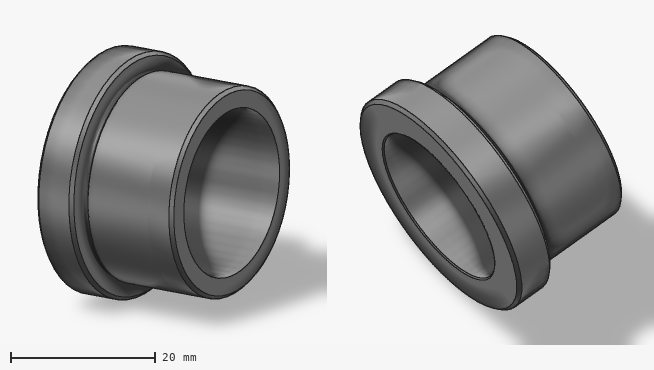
import cadquery as cq

total_length = 21.0
flange_diameter = 35.0
flange_width = 6.0
body_diameter = 30.0
bore_diameter = 24.0
edge_chamfer = 0.5
bore_chamfer = 0.2
relief_radius = 0.5
pilot_length = 4.0

flange_radius = flange_diameter / 2
body_radius = body_diameter / 2
bore_radius = bore_diameter / 2
relief_center_x = flange_width + relief_radius
relief_end_x = flange_width + 2 * relief_radius
pilot_start_x = total_length - pilot_length


def half_section():
    """Closed half section in the XY plane, with Y as the radius."""
    return (
        cq.Workplane("XY")
        .moveTo(bore_chamfer, bore_radius)
        .lineTo(0, bore_radius + bore_chamfer)
        .lineTo(0, flange_radius - edge_chamfer)
        .lineTo(edge_chamfer, flange_radius)
        .lineTo(flange_width - edge_chamfer, flange_radius)
        .lineTo(flange_width, flange_radius - edge_chamfer)
        .lineTo(flange_width, body_radius)
        .threePointArc((relief_center_x, body_radius - relief_radius), (relief_end_x, body_radius))
        .lineTo(pilot_start_x, body_radius)
        .lineTo(total_length - edge_chamfer, body_radius)
        .lineTo(total_length, body_radius - edge_chamfer)
        .lineTo(total_length, bore_radius)
        .close()
    )


result = half_section().revolve(360, (0, 0, 0), (1, 0, 0), clean=False)